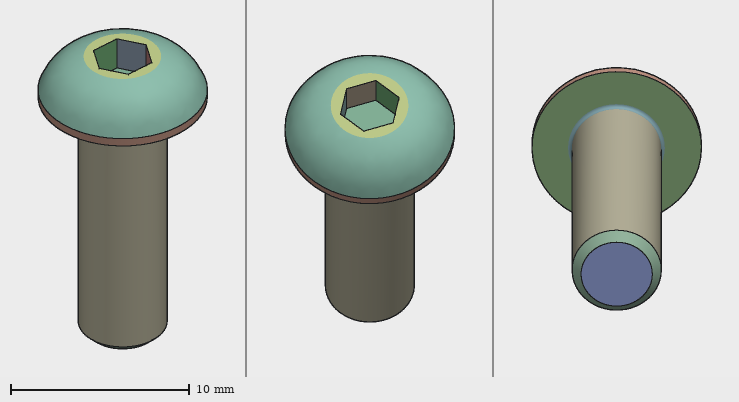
import cadquery as cq
import math

total_length = 18.75
head_diameter = 9.5
head_height = 2.75
rim_height = 0.5
crown_diameter = 4.35
dome_bulge = 0.45
shank_diameter = 5.0
tip_chamfer = 0.5
neck_fillet = 0.2
hex_across_flats = 3.0
hex_depth = 2.0

head_radius = head_diameter / 2
crown_radius = crown_diameter / 2
shank_radius = shank_diameter / 2
shank_length = total_length - head_height


def dome_midpoint():
    """Point on the dome arc, pushed outward from the middle of its chord."""
    run = head_radius - crown_radius
    rise = head_height - rim_height
    chord = math.hypot(run, rise)
    radius = (head_radius + crown_radius) / 2 + dome_bulge * rise / chord
    height = (rim_height + head_height) / 2 + dome_bulge * run / chord
    return radius, height


def screw_body():
    """Domed head, filleted neck and chamfered shank, as one revolved profile."""
    fillet_mid_offset = neck_fillet * (1 - math.sqrt(0.5))
    profile = (
        cq.Workplane("XZ")
        .moveTo(0, -shank_length)
        .lineTo(shank_radius - tip_chamfer, -shank_length)
        .lineTo(shank_radius, -shank_length + tip_chamfer)
        .lineTo(shank_radius, -neck_fillet)
        .threePointArc(
            (shank_radius + fillet_mid_offset, -fillet_mid_offset),
            (shank_radius + neck_fillet, 0),
        )
        .lineTo(head_radius, 0)
        .lineTo(head_radius, rim_height)
        .threePointArc(dome_midpoint(), (crown_radius, head_height))
        .lineTo(0, head_height)
        .close()
    )
    return profile.revolve(360, (0, 0, 0), (0, 1, 0))


def hex_socket():
    """Flat-bottomed hexagonal drive with two corners on the Y axis."""
    across_corners = hex_across_flats / math.cos(math.pi / 6)
    return (
        cq.Workplane("XY")
        .workplane(offset=head_height - hex_depth)
        .transformed(rotate=(0, 0, 90))
        .polygon(6, across_corners)
        .extrude(hex_depth)
    )


result = screw_body().cut(hex_socket())